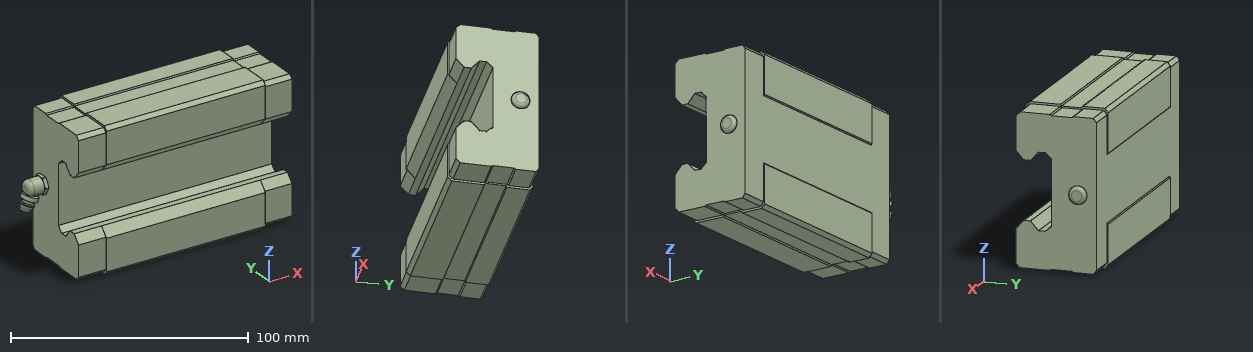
import cadquery as cq
import math


BODY_LENGTH = 79.3
CAP_LENGTH = 13.6
BODY_DEPTH = 37.0
BODY_WIDTH = 70.0
CAP_INSET_DEPTH = 0.5
CAP_INSET_SIDE = 1.0

OVERLAP = 0.6

BACK_CHAMFER_Y = 1.4
FRONT_CHAMFER_Y = 1.8
CHAMFER_Z = 1.8

GROOVE_BACK_Y = 6.7
GROOVE_FRONT_Y = -2.3
GROOVE_DEPTH = 0.7
GROOVE_SLOPE = 0.4
CAP_GROOVE_BACK_Y = 7.1
CAP_GROOVE_FRONT_Y = -2.0
CAP_GROOVE_DEPTH = 0.5
CAP_GROOVE_SLOPE = 0.7

RECESS_WIDTH = 30.9
RECESS_DEPTH = CAP_INSET_DEPTH
RECESS_SLOPE = 0.5

LIP_HALF_WIDTH = 13.2
LIP_FRONT_Y = -14.5
MOUTH_HALF_WIDTH = 17.4
CAP_MOUTH_HALF_WIDTH = 17.0
OPENING_HALF_OUTLINE = [
    (-2.0, 14.6),
    (-4.8, 17.1),
    (-7.8, 17.1),
    (-11.4, LIP_HALF_WIDTH),
    (LIP_FRONT_Y, LIP_HALF_WIDTH),
]

PORT_Y = 9.8
HEX_FLATS = 8.0
HEX_HEIGHT = 1.8
HEX_BEVEL = 0.2
ELBOW_DIAMETER = 7.9
ELBOW_LENGTH = 9.3
ELBOW_FILLET = 2.5

SPOUT_OFFSET = 5.0
SPOUT_TILT = 22.5
BASE_DIAMETER = 6.6
BASE_END = 3.1
FLANGE_DIAMETER = 7.9
FLANGE_START = 3.7
FLANGE_END = 5.7
NECK_DIAMETER = 5.5
NECK_START = 6.1
NECK_END = 7.2
HEAD_DIAMETER = 6.7
HEAD_START = 7.7
HEAD_END = 8.1
TAPER_DIAMETER = 5.4
TAPER_END = 9.7
TIP_DIAMETER = 4.3
SPOUT_LENGTH = 11.0
INLET_DIAMETER = 1.2
INLET_DEPTH = 1.2

PLUG_DIAMETER = 8.0
PLUG_HEIGHT = 1.8
PLUG_FILLET = 1.7

BODY_HALF = BODY_LENGTH / 2
CAP_FACE_X = BODY_HALF + CAP_LENGTH


def side_groove(back_y, front_y, slope, depth, half_width):
    """Points of a sloped-wall groove in the +Z side, from front to back."""
    return [
        (front_y - slope, half_width),
        (front_y, half_width - depth),
        (back_y, half_width - depth),
        (back_y + slope, half_width),
    ]


def carriage_prism(back_y, front_y, half_width, mouth_half_width, groove, start_x, length):
    """Extrude the C-shaped section along X."""
    half_outline = OPENING_HALF_OUTLINE + [
        (front_y, mouth_half_width),
        (front_y, half_width - CHAMFER_Z),
        (front_y + FRONT_CHAMFER_Y, half_width),
        *groove,
        (back_y - BACK_CHAMFER_Y, half_width),
        (back_y, half_width - CHAMFER_Z),
    ]
    mirrored = [(y, -z) for y, z in reversed(half_outline)]
    section = cq.Workplane("YZ", origin=(start_x, 0, 0)).polyline(half_outline + mirrored).close()
    return section.extrude(length)


def body():
    back_y = BODY_DEPTH / 2
    half_width = BODY_WIDTH / 2
    groove = side_groove(GROOVE_BACK_Y, GROOVE_FRONT_Y, GROOVE_SLOPE, GROOVE_DEPTH, half_width)
    block = carriage_prism(
        back_y, -back_y, half_width, MOUTH_HALF_WIDTH, groove, -BODY_HALF, BODY_LENGTH
    )
    half_recess = RECESS_WIDTH / 2
    floor_y = back_y - RECESS_DEPTH
    recess = (
        cq.Workplane("YZ", origin=(-BODY_HALF, 0, 0))
        .polyline([
            (back_y, half_recess),
            (floor_y, half_recess - RECESS_SLOPE),
            (floor_y, RECESS_SLOPE - half_recess),
            (back_y, -half_recess),
        ])
        .close()
        .extrude(BODY_LENGTH)
    )
    return block.cut(recess)


def end_cap(start_x):
    back_y = BODY_DEPTH / 2 - CAP_INSET_DEPTH
    front_y = CAP_INSET_DEPTH - BODY_DEPTH / 2
    half_width = BODY_WIDTH / 2 - CAP_INSET_SIDE
    groove = side_groove(
        CAP_GROOVE_BACK_Y, CAP_GROOVE_FRONT_Y, CAP_GROOVE_SLOPE, CAP_GROOVE_DEPTH, half_width
    )
    return carriage_prism(
        back_y, front_y, half_width, CAP_MOUTH_HALF_WIDTH, groove, start_x, CAP_LENGTH
    )


def port_plane(x, direction):
    """Workplane on the port axis, facing along +X or -X, with local X along Y."""
    return cq.Workplane(cq.Plane(origin=(x, PORT_Y, 0), xDir=(0, 1, 0), normal=(direction, 0, 0)))


def hexagon():
    corners = HEX_FLATS / math.cos(math.pi / 6)
    prism = port_plane(-CAP_FACE_X + OVERLAP, -1).polygon(6, corners).extrude(HEX_HEIGHT + OVERLAP)
    rounding = (
        port_plane(-CAP_FACE_X + OVERLAP, -1)
        .circle(corners / 2)
        .extrude(HEX_HEIGHT + OVERLAP)
        .faces("<X")
        .chamfer(HEX_BEVEL)
    )
    return prism.intersect(rounding)


def elbow():
    return (
        port_plane(-CAP_FACE_X, -1)
        .circle(ELBOW_DIAMETER / 2)
        .extrude(ELBOW_LENGTH)
        .faces("<X")
        .edges()
        .fillet(ELBOW_FILLET)
    )


def spout():
    """Nozzle revolved about the tilted axis; outline points are (radius, distance along the axis)."""
    tilt = math.radians(SPOUT_TILT)
    axis = cq.Plane(
        origin=(-CAP_FACE_X - SPOUT_OFFSET, PORT_Y, 0),
        xDir=(0, 1, 0),
        normal=(math.sin(tilt), 0, math.cos(tilt)),
    )
    base = BASE_DIAMETER / 2
    flange = FLANGE_DIAMETER / 2
    neck = NECK_DIAMETER / 2
    head = HEAD_DIAMETER / 2
    inlet = INLET_DIAMETER / 2
    outline = [
        (0, 0),
        (base, 0),
        (base, BASE_END),
        (flange, FLANGE_START),
        (flange, FLANGE_END),
        (neck, NECK_START),
        (neck, NECK_END),
        (head, HEAD_START),
        (head, HEAD_END),
        (TAPER_DIAMETER / 2, TAPER_END),
        (TIP_DIAMETER / 2, SPOUT_LENGTH),
        (inlet, SPOUT_LENGTH),
        (inlet, SPOUT_LENGTH - INLET_DEPTH),
        (0, SPOUT_LENGTH - INLET_DEPTH),
    ]
    profile = cq.Workplane(axis).transformed(rotate=(-90, 0, 0)).polyline(outline).close()
    return profile.revolve(360, (0, 0, 0), (0, 1, 0))


def plug():
    """Domed plug on the far end cap."""
    radius = PLUG_DIAMETER / 2
    return (
        port_plane(CAP_FACE_X - OVERLAP, 1)
        .circle(radius)
        .extrude(PLUG_HEIGHT + OVERLAP)
        .faces(">X")
        .edges()
        .fillet(PLUG_FILLET)
    )


result = body()
for piece in (end_cap(-CAP_FACE_X), end_cap(BODY_HALF), hexagon(), elbow(), spout(), plug()):
    result = result.union(piece)